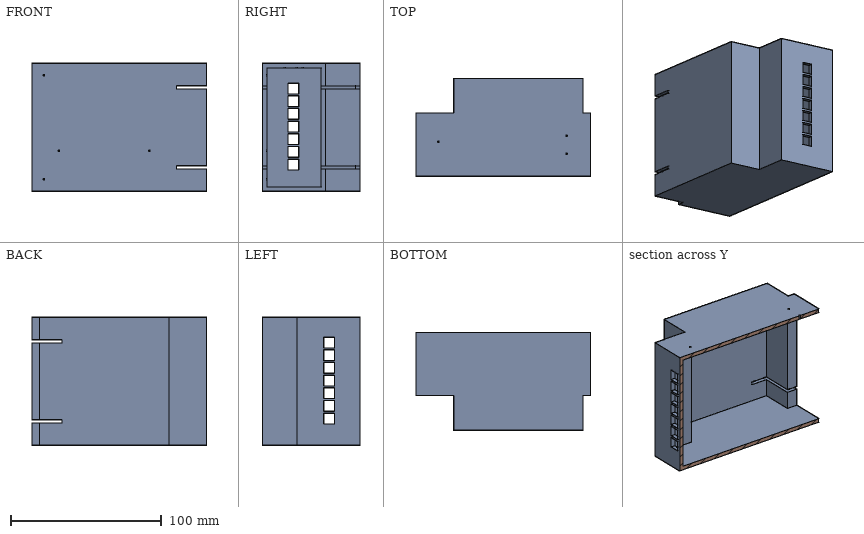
import cadquery as cq

LENGTH = 116.0
HEIGHT = 85.0
DEPTH = 65.0
MAIN_DEPTH = 42.0
BUMP_START = 25.0
BUMP_END = 111.0
WALL = 3.0

WINDOW_SIZE = 7.0
WINDOW_COUNT = 7
WINDOW_PITCH = 8.4
WINDOW_NEAR_Y = 17.2
LOWEST_WINDOW_Z = 14.3

SLOT_LENGTH = 20.0
SLOT_WIDTH = 2.0
SLOT_EDGE_DISTANCE = 15.0

HOLE_DIAMETER = 1.0
CORNER_HOLE_INSET = 8.0
FRONT_HOLES = [
    (CORNER_HOLE_INSET, CORNER_HOLE_INSET),
    (CORNER_HOLE_INSET, HEIGHT - CORNER_HOLE_INSET),
    (18.0, 27.0),
    (78.0, 27.0),
]
TOP_HOLES = [(15.0, 23.0), (100.0, 15.0), (100.0, 27.0)]


def box(x_range, y_range, z_range):
    """Axis-aligned box given by its limits along X, Y and Z."""
    x0, x1 = x_range
    y0, y1 = y_range
    z0, z1 = z_range
    size = (x1 - x0, y1 - y0, z1 - z0)
    return cq.Workplane("XY").box(*size, centered=False).translate((x0, y0, z0))


def make_shell():
    """Stepped body hollowed to an even wall, with the main block open at +X."""
    main = box((0, LENGTH), (0, MAIN_DEPTH), (0, HEIGHT))
    bump = box((BUMP_START, BUMP_END), (0, DEPTH), (0, HEIGHT))
    inner_z = (WALL, HEIGHT - WALL)
    main_cavity = box((WALL, LENGTH), (WALL, MAIN_DEPTH - WALL), inner_z)
    bump_cavity = box((BUMP_START + WALL, BUMP_END - WALL), (WALL, DEPTH - WALL), inner_z)
    return main.union(bump).cut(main_cavity.union(bump_cavity))


def cut_windows(body):
    """Cut the evenly spaced square windows through the -X wall."""
    y_range = (WINDOW_NEAR_Y, WINDOW_NEAR_Y + WINDOW_SIZE)
    for index in range(WINDOW_COUNT):
        bottom = LOWEST_WINDOW_Z + index * WINDOW_PITCH
        body = body.cut(box((0, WALL), y_range, (bottom, bottom + WINDOW_SIZE)))
    return body


def cut_slots(body):
    """Cut the two end slots through the full depth of the part."""
    x_range = (LENGTH - SLOT_LENGTH, LENGTH)
    upper_slot_bottom = HEIGHT - SLOT_EDGE_DISTANCE - SLOT_WIDTH
    for bottom in (SLOT_EDGE_DISTANCE, upper_slot_bottom):
        body = body.cut(box(x_range, (0, DEPTH), (bottom, bottom + SLOT_WIDTH)))
    return body


def drill_wall(body, start, direction):
    """Drill one small hole through a single wall, starting on its outer face."""
    hole = cq.Solid.makeCylinder(HOLE_DIAMETER / 2, WALL, cq.Vector(*start), cq.Vector(*direction))
    return body.cut(cq.Workplane(hole))


def cut_holes(body):
    """Drill the small holes through the -Y wall and the +Z wall."""
    for x, z in FRONT_HOLES:
        body = drill_wall(body, (x, 0, z), (0, 1, 0))
    for x, y in TOP_HOLES:
        body = drill_wall(body, (x, y, HEIGHT), (0, 0, -1))
    return body


shell = make_shell()
windowed_shell = cut_windows(shell)
slotted_shell = cut_slots(windowed_shell)
result = cut_holes(slotted_shell)